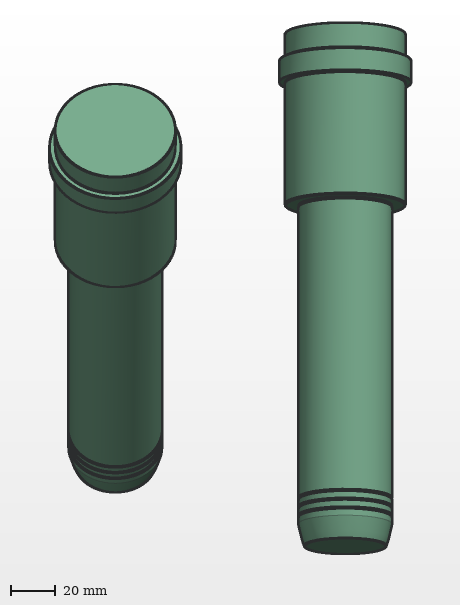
import cadquery as cq

total_height = 233.0

shank_radius = 42.0 / 2

lead_height = 10.0
foot_radius = 18.3
lead_bulge = 0.25
foot_chamfer = 0.3

groove_count = 3
groove_pitch = 4.0
groove_width = 1.0
groove_depth = 0.3
lowest_groove_height = lead_height + 3.5

body_radius = 54.0 / 2
body_base = total_height - 78.0
body_chamfer = 0.5

collar_radius = 59.0 / 2
collar_top = total_height - 12.0
collar_thickness = 10.0
collar_base = collar_top - collar_thickness

edge_chamfer = 0.3

relief_width = 1.0
relief_depth = 0.2
lower_relief_width = 0.7


def cylinder(radius, base, top):
    return cq.Workplane("XY").workplane(offset=base).circle(radius).extrude(top - base)


def ring(section):
    """Turn a closed section, given as (radius, height) points, about the Z axis."""
    return cq.Workplane("XZ").polyline(section).close().revolve(360, (0, 0, 0), (0, 1, 0))


def relief(outer_radius, shoulder, width):
    """Relief that is straight next to the shoulder and slopes out over its far half.

    A positive width runs upwards from the shoulder, a negative one downwards.
    """
    floor_radius = outer_radius - relief_depth
    return ring(
        [
            (outer_radius, shoulder),
            (floor_radius, shoulder),
            (floor_radius, shoulder + width / 2),
            (outer_radius, shoulder + width),
        ]
    )


def oil_groove(height):
    """V-shaped ring centred on the given height."""
    return ring(
        [
            (shank_radius, height - groove_width / 2),
            (shank_radius - groove_depth, height),
            (shank_radius, height + groove_width / 2),
        ]
    )


def make_shank():
    """Shank with barrelled lead-in, oil grooves and a relief under the body."""
    lead_middle = ((shank_radius + foot_radius) / 2 + lead_bulge, lead_height / 2)
    profile = (
        cq.Workplane("XZ")
        .moveTo(0, body_base)
        .lineTo(shank_radius, body_base)
        .lineTo(shank_radius, lead_height)
        .threePointArc(lead_middle, (foot_radius, 0))
        .lineTo(0, 0)
        .close()
    )
    shank = profile.revolve(360, (0, 0, 0), (0, 1, 0))
    shank = shank.faces("<Z").edges().chamfer(foot_chamfer)
    for index in range(groove_count):
        shank = shank.cut(oil_groove(lowest_groove_height + index * groove_pitch))
    return shank.cut(relief(shank_radius, body_base, -relief_width))


def make_head():
    """Body, collar and head, with reliefs on both sides of the collar."""
    body = cylinder(body_radius, body_base, total_height)
    body = body.faces("<Z").edges().chamfer(body_chamfer)
    body = body.faces(">Z").edges().chamfer(edge_chamfer)
    body = body.cut(relief(body_radius, collar_base, -lower_relief_width))
    body = body.cut(relief(body_radius, collar_top, relief_width))
    collar = cylinder(collar_radius, collar_base, collar_top)
    collar = collar.faces(">Z").edges().chamfer(edge_chamfer)
    return body.union(collar)


result = make_shank().union(make_head())